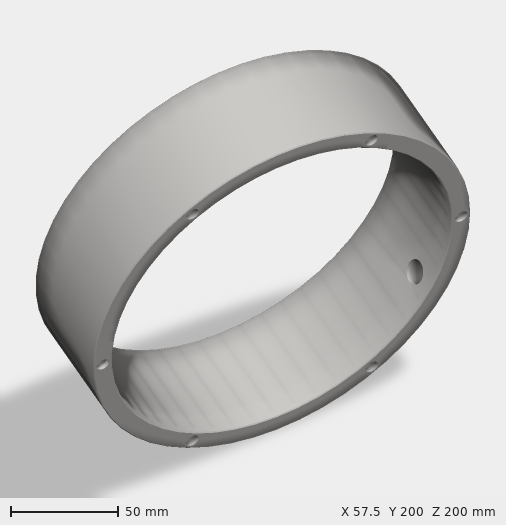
import cadquery as cq

outer_diameter = 200.0
inner_diameter = 180.0
width = 57.5
edge_chamfer = 0.5

axial_hole_diameter = 6.5
axial_hole_count = 6
bolt_circle_diameter = (outer_diameter + inner_diameter) / 2

radial_hole_diameter = 12.0
radial_hole_x = 15.0
radial_hole_angle = -180 / axial_hole_count


def make_ring():
    ring = (
        cq.Workplane("YZ", origin=(-width / 2, 0, 0))
        .circle(outer_diameter / 2)
        .circle(inner_diameter / 2)
        .extrude(width)
    )
    return ring.faces("<X or >X").edges().chamfer(edge_chamfer)


def make_axial_holes():
    return (
        cq.Workplane("YZ", origin=(-width / 2, 0, 0))
        .polarArray(bolt_circle_diameter / 2, 0, 360, axial_hole_count)
        .circle(axial_hole_diameter / 2)
        .extrude(width)
    )


def make_radial_hole():
    hole = (
        cq.Workplane("XZ")
        .center(radial_hole_x, 0)
        .circle(radial_hole_diameter / 2)
        .extrude(-outer_diameter)
    )
    return hole.rotate((0, 0, 0), (1, 0, 0), radial_hole_angle)


result = make_ring().cut(make_axial_holes()).cut(make_radial_hole())